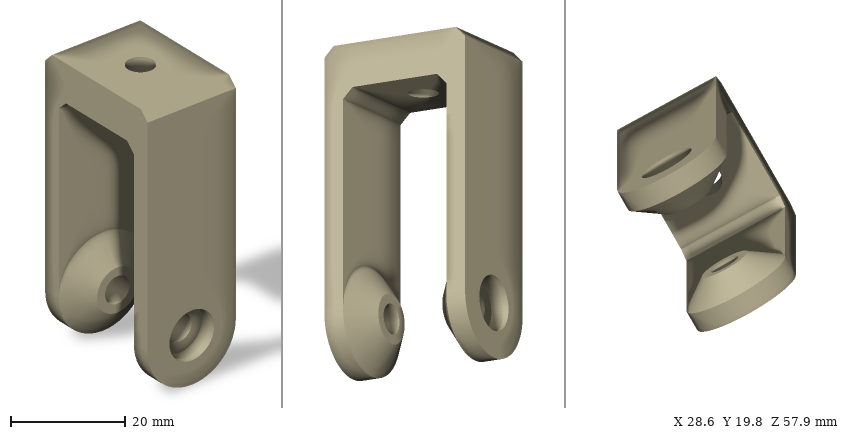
import cadquery as cq

width = 28.6
depth = 19.8
height = 57.9
arm_thickness = 3.8
bridge_thickness = 8.0
outer_chamfer = 1.9
inner_chamfer = 1.9

boss_height = 4.0
boss_tip_diameter = 9.05
hole_diameter = 5.5
counterbore_diameter = 10.0
counterbore_depth = 3.5

end_radius = depth / 2
pivot_z = end_radius
slot_width = width - 2 * arm_thickness
slot_height = height - bridge_thickness


def fork_body():
    """Chamfered block, slotted from below, with rounded arm ends."""
    block = cq.Workplane("XY").box(width, depth, height, centered=(True, True, False))
    block = block.edges("|Y and >Z").chamfer(outer_chamfer)
    slot = cq.Workplane("XY").box(slot_width, depth, slot_height, centered=(True, True, False))
    slot = slot.edges("|Y and >Z").chamfer(inner_chamfer)
    side_profile = (
        cq.Workplane("YZ", origin=(-width / 2, 0, 0))
        .moveTo(-end_radius, height)
        .lineTo(-end_radius, pivot_z)
        .threePointArc((0, 0), (end_radius, pivot_z))
        .lineTo(end_radius, height)
        .close()
        .extrude(width)
    )
    return block.cut(slot).intersect(side_profile)


def pivot_boss(side):
    """Conical boss on the inner face of one arm; side is -1 or 1 along X."""
    return cq.Workplane(
        cq.Solid.makeCone(
            end_radius,
            boss_tip_diameter / 2,
            boss_height,
            pnt=cq.Vector(side * slot_width / 2, 0, pivot_z),
            dir=cq.Vector(-side, 0, 0),
        )
    )


def pivot_cylinder(start_x, diameter, length, direction):
    """Cylinder on the pivot axis, used for cutting."""
    return cq.Workplane(
        cq.Solid.makeCylinder(
            diameter / 2,
            length,
            pnt=cq.Vector(start_x, 0, pivot_z),
            dir=cq.Vector(direction, 0, 0),
        )
    )


result = fork_body()
for side in (-1, 1):
    result = result.union(pivot_boss(side))

result = result.cut(pivot_cylinder(-width / 2, hole_diameter, width, 1))
for side in (-1, 1):
    result = result.cut(
        pivot_cylinder(side * width / 2, counterbore_diameter, counterbore_depth, -side)
    )

result = result.faces(">Z").workplane(centerOption="CenterOfBoundBox").hole(hole_diameter, bridge_thickness)